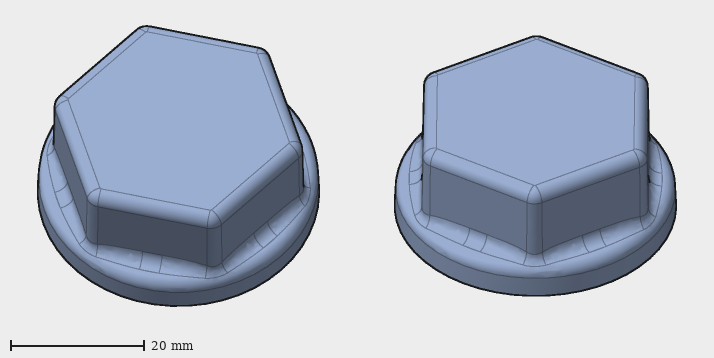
import cadquery as cq
import math

height = 18.3
base_radius = 21.18

flange_height = 5.3
flange_draft = 2.6
flange_round = 2.0

hexagon_sides = 6
across_flats_at_base = 34.2
head_draft = 1.0
corner_round_at_base = 2.5
top_round = 2.0

root_fillet = 2.0


def make_flange():
    """Tapered disc with a rounded upper rim."""
    disc = cq.Workplane("XY").circle(base_radius).extrude(flange_height, taper=flange_draft)
    return disc.faces(">Z").edges().fillet(flange_round)


def make_head():
    """Tapered hexagon with conical corners and a rounded top edge."""
    corner_radius = across_flats_at_base / 2 / math.cos(math.pi / hexagon_sides)
    outline = (
        cq.Sketch()
        .regularPolygon(corner_radius, hexagon_sides)
        .vertices()
        .fillet(corner_round_at_base)
    )
    prism = cq.Workplane("XY").placeSketch(outline).extrude(height, taper=head_draft)
    return prism.faces(">Z").edges().fillet(top_round)


def is_root_line(edge):
    """True for an edge that lies flat in the upper face of the flange."""
    tolerance = 0.005
    box = edge.BoundingBox()
    return max(abs(box.zmin - flange_height), abs(box.zmax - flange_height)) < tolerance


def blend_root(body):
    """Fillet the joint; the straight edges carry the fillet on around the tangent corners."""
    return body.edges("%LINE").filter(is_root_line).fillet(root_fillet)


result = blend_root(make_flange().union(make_head()))